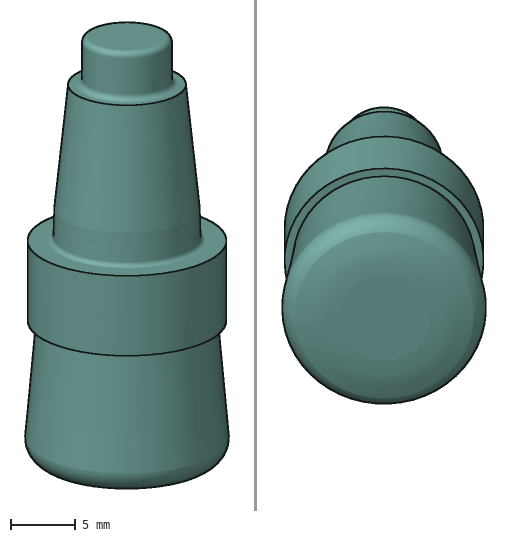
import cadquery as cq
import math

total_height = 35.6
collar_bottom = 11.95
collar_top = 18.62
taper_bottom = 21.4
shoulder_height = 31.6

collar_radius = 15.5 / 2
stem_base_radius = 5.73
taper_bottom_radius = 5.65
shoulder_radius = 4.6
nose_radius = 7.0 / 2
edge_radius = 0.5
stem_fillet_radius = 0.4

grip_top_radius = 7.1
grip_max_radius = 15.88 / 2
rim_top = 2.25
rim_bottom = 0.6
rim_bottom_radius = 6.98
foot_flat_radius = 3.55


def make_shaft():
    """Revolve the collar, stem and nose, with rounded corners at each step."""
    corner = edge_radius * math.sqrt(0.5)
    stem_fillet_edge = stem_base_radius + stem_fillet_radius
    stem_corner = stem_fillet_radius * math.sqrt(0.5)
    profile = (
        cq.Workplane("XZ")
        .moveTo(0, collar_bottom)
        .lineTo(collar_radius, collar_bottom)
        .lineTo(collar_radius, collar_top)
        .lineTo(stem_fillet_edge, collar_top)
        .threePointArc(
            (stem_fillet_edge - stem_corner, collar_top + stem_fillet_radius - stem_corner),
            (stem_base_radius, collar_top + stem_fillet_radius),
        )
        .lineTo(taper_bottom_radius, taper_bottom)
        .lineTo(shoulder_radius, shoulder_height)
        .lineTo(nose_radius + edge_radius, shoulder_height)
        .threePointArc(
            (nose_radius + edge_radius - corner, shoulder_height + edge_radius - corner),
            (nose_radius, shoulder_height + edge_radius),
        )
        .lineTo(nose_radius, total_height - edge_radius)
        .threePointArc(
            (nose_radius - edge_radius + corner, total_height - edge_radius + corner),
            (nose_radius - edge_radius, total_height),
        )
        .lineTo(0, total_height)
        .close()
    )
    return profile.revolve(360, (0, 0), (0, 1))


def make_grip():
    """Revolve the flared grip that meets the underside of the collar."""
    crown_width = rim_bottom_radius - foot_flat_radius
    crown_arc_radius = (crown_width**2 + rim_bottom**2) / (2 * rim_bottom)
    half_sweep = math.asin(crown_width / crown_arc_radius) / 2
    crown_middle_radius = foot_flat_radius + crown_arc_radius * math.sin(half_sweep)
    crown_middle_height = crown_arc_radius * (1 - math.cos(half_sweep))
    rim_width = grip_max_radius - rim_bottom_radius
    rim_height = rim_top - rim_bottom
    rim_arc_radius = (rim_width**2 + rim_height**2) / (2 * rim_width)
    half_turn = math.asin(rim_height / rim_arc_radius) / 2
    rim_middle_radius = grip_max_radius - rim_arc_radius * (1 - math.cos(half_turn))
    rim_middle_height = rim_top - rim_arc_radius * math.sin(half_turn)
    profile = (
        cq.Workplane("XZ")
        .moveTo(0, collar_bottom)
        .lineTo(grip_top_radius, collar_bottom)
        .lineTo(grip_max_radius, rim_top)
        .threePointArc((rim_middle_radius, rim_middle_height), (rim_bottom_radius, rim_bottom))
        .threePointArc((crown_middle_radius, crown_middle_height), (foot_flat_radius, 0))
        .lineTo(0, 0)
        .close()
    )
    return profile.revolve(360, (0, 0), (0, 1))


shaft = make_shaft()
grip = make_grip()

result = cq.Compound.makeCompound([shaft.val(), grip.val()])